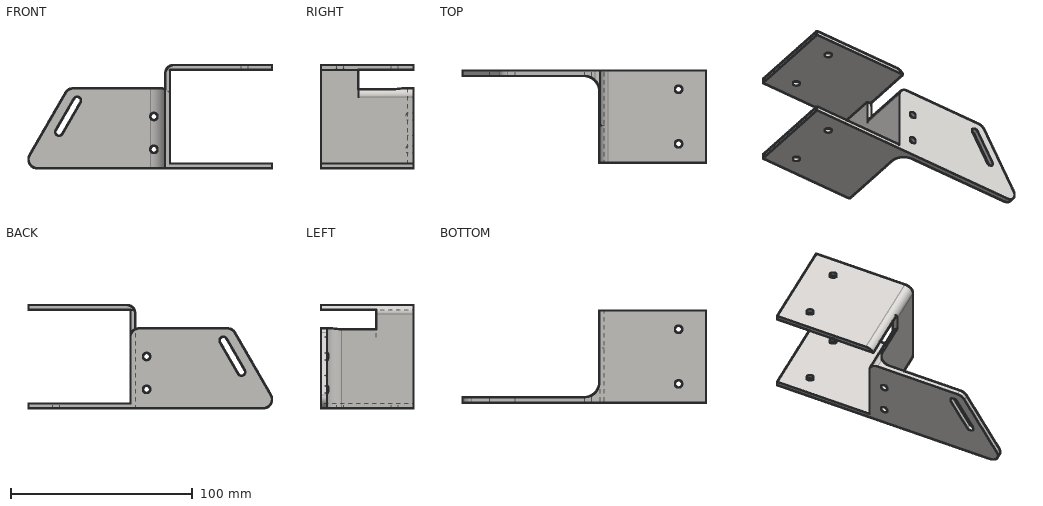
import cadquery as cq
import math

length = 134.2
depth = 51.0
height = 57.0

wall = 2.8
web_x = 75.3
web_inner_x = web_x + wall
corner_radius = 5.0

plate_thickness = 3.2
plate_height = 44.2
slant_angle = 60.0
bend_radius = 8.0

notch_depth = 30.3

hole_diameter = 3.9
flange_hole_x = 119.0
flange_hole_spacing = 30.0
plate_hole_x = 69.1
plate_hole_heights = (10.5, 28.6)
slot_width = 4.0
slot_travel = 20.0
slot_x = 21.9
slot_z = 28.7


def block(x_range, y_range, z_range):
    """Axis-aligned box between the given limits."""
    size = [end - start for start, end in (x_range, y_range, z_range)]
    corner = (x_range[0], y_range[0], z_range[0])
    return cq.Workplane("XY").box(*size, centered=False).translate(corner)


def make_channel():
    """U channel with a rounded upper corner and a notched web."""
    channel = block((web_x, length), (-depth, 0), (0, height))
    channel = channel.edges("|Y and <X and >Z").fillet(corner_radius)
    channel = channel.cut(block((web_inner_x, length), (-depth, 0), (wall, height - wall)))
    return channel.cut(block((web_x, web_inner_x), (-notch_depth, 0), (0, height - wall)))


def make_rear_plate():
    """Slanted rear plate joined to the lower web by a vertical bend."""
    slope = math.tan(math.radians(slant_angle))
    foot_x = corner_radius - corner_radius / math.tan(math.radians(slant_angle / 2))
    plate = (
        cq.Workplane("XZ")
        .moveTo(foot_x, 0)
        .lineTo(web_inner_x, 0)
        .lineTo(web_inner_x, plate_height)
        .lineTo(foot_x + plate_height / slope, plate_height)
        .close()
        .extrude(notch_depth)
        .edges("|Y and (<X or >Z)")
        .fillet(corner_radius)
    )
    space = block((-length, web_x), (-depth, -plate_thickness), (0, plate_height))
    space = space.edges("|Z and >X and >Y").fillet(bend_radius)
    return plate.cut(space)


def make_flange_holes():
    """Vertical drills through both flanges."""
    half_spacing = flange_hole_spacing / 2
    centers = [(flange_hole_x, -depth / 2 + side * half_spacing) for side in (-1, 1)]
    return cq.Workplane("XY").pushPoints(centers).circle(hole_diameter / 2).extrude(height)


def make_plate_openings():
    """Two round holes and a slot parallel to the slanted edge."""
    centers = [(plate_hole_x, z) for z in plate_hole_heights]
    holes = cq.Workplane("XZ").pushPoints(centers).circle(hole_diameter / 2).extrude(depth)
    slot = (
        cq.Workplane("XZ")
        .center(slot_x, slot_z)
        .slot2D(slot_travel + slot_width, slot_width, slant_angle)
        .extrude(depth)
    )
    return holes.union(slot)


bracket = make_channel().union(make_rear_plate())
result = bracket.cut(make_flange_holes()).cut(make_plate_openings())